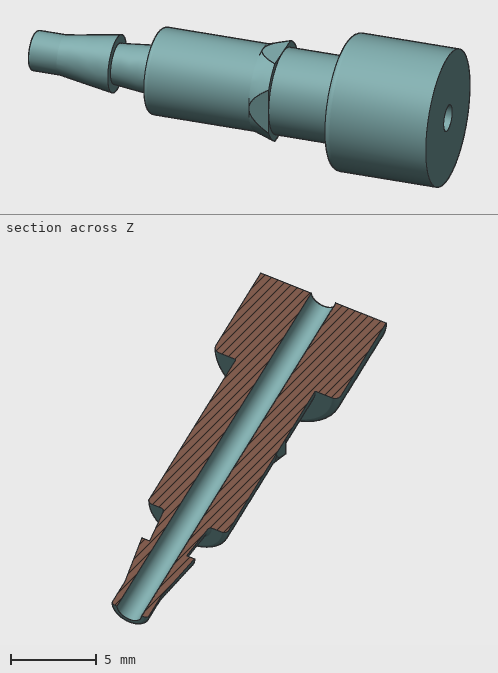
import cadquery as cq

total_length = 25.5
bore_radius = 0.8

tip_radius = 1.2
tip_rounding = 0.2
barb_start = 1.8
barb_end = 5.13
barb_radius = 1.73
neck_start_radius = 1.22
neck_end_radius = 1.48
neck_fillet = 0.2

body_start = 7.55
body_radius = 2.6
body_rounding = 0.3
collar_start = 14.1
collar_end = 15.33
collar_radius = 2.98

head_start = 19.18
head_radius = 4.1
head_rounding = 0.4

selection_margin = 0.03
largest_circle = cq.selectors.RadiusNthSelector(-1)


def cylinder(start, end, radius):
    """Solid cylinder along X between two stations."""
    return cq.Workplane("YZ").workplane(offset=start).circle(radius).extrude(end - start)


def revolve_profile(points):
    """Solid of revolution about X from (station, radius) points."""
    return cq.Workplane("XY").polyline(points).close().revolve(360, (0, 0, 0), (1, 0, 0))


def round_edge_at_body_start(solid, radius, rounding):
    """Fillet the largest circular edge within the given radius at the body's front face."""
    reach = radius + selection_margin
    edge_box = cq.selectors.BoxSelector(
        (body_start - selection_margin, -reach, -reach),
        (body_start + selection_margin, reach, reach),
        boundingbox=True,
    )
    return solid.edges(edge_box).edges("%CIRCLE").edges(largest_circle).fillet(rounding)


def make_barb_and_body():
    """Barbed hose end running into the body, with rounded ends and neck root."""
    profile = revolve_profile([
        (0, 0),
        (0, tip_radius),
        (barb_start, tip_radius),
        (barb_end, barb_radius),
        (barb_end, neck_start_radius),
        (body_start, neck_end_radius),
        (body_start, body_radius),
        (head_start, body_radius),
        (head_start, 0),
    ])
    profile = profile.faces("<X").edges(largest_circle).fillet(tip_rounding)
    profile = round_edge_at_body_start(profile, neck_end_radius, neck_fillet)
    return round_edge_at_body_start(profile, body_radius, body_rounding)


def make_collar():
    """Collar flaring from the body, trimmed by four flats tangent to the body."""
    cone = revolve_profile([
        (collar_start, 0),
        (collar_start, body_radius),
        (collar_end, collar_radius),
        (collar_end, 0),
    ])
    square = (
        cq.Workplane("YZ")
        .workplane(offset=collar_start)
        .rect(2 * body_radius, 2 * body_radius)
        .extrude(collar_end - collar_start)
    )
    return cone.intersect(square)


def make_head():
    """Large plain head with its inner rim rounded."""
    head = cylinder(head_start, total_length, head_radius)
    return head.faces("<X").edges().fillet(head_rounding)


bore = cylinder(0, total_length, bore_radius)

result = make_barb_and_body().union(make_collar()).union(make_head()).cut(bore)